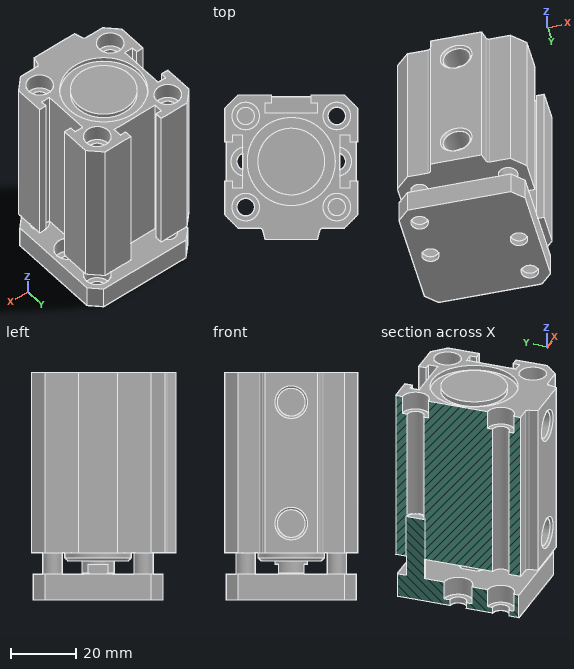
import cadquery as cq
import math

total_height = 70.0
plate_thickness = 8.0
plate_gap = 6.5
housing_base = plate_thickness + plate_gap
housing_height = total_height - housing_base

housing_width = 41.0
half_housing = housing_width / 2
housing_chamfer = 4.2
rib_height = 3.5
rib_half_width = 8.05
rib_root_fillet = 1.0
rib_flank_angle = 15
rib_flare = rib_height * math.tan(math.radians(rib_flank_angle))

slot_opening = 12.05
slot_inner_width = 16.2
slot_lip = 2.5
slot_depth = 5.5

hole_offset = 14.0
corner_hole_diameter = 5.3
corner_bore_diameter = 8.5
housing_bore_depth = 5.8
plate_bore_depth = 5.9

recess_diameter = 27.1
recess_depth = 1.6
cap_diameter = 20.5

collar_diameter = 20.5
collar_height = 2.5
collar_chamfer = 1.05

port_diameter = 8.55
port_mouth_diameter = 10.0
port_chamfer = (port_mouth_diameter - port_diameter) / 2
port_depth = 8.0
port_heights = (23.5, 60.8)

plate_width = 40.0
plate_chamfer = 3.65
side_hole_diameter = 5.3
side_bore_diameter = 9.0

guide_rod_diameter = 6.0
guide_rod_insertion = 14.0
piston_rod_diameter = 10.0
piston_rod_insertion = 14.0
rod_flat_width = 8.0
rod_flat_height = 3.0
rod_tip_chamfer = 0.35

guide_rod_points = [(-hole_offset, hole_offset), (hole_offset, -hole_offset)]
bolt_points = [(-hole_offset, -hole_offset), (hole_offset, hole_offset)]
side_points = [(-hole_offset, 0), (hole_offset, 0)]


def cylinders(points, diameter, base, height):
    """Upright cylinders of one size, standing on the height `base`."""
    return cq.Workplane("XY", origin=(0, 0, base)).pushPoints(points).circle(diameter / 2).extrude(height)


def housing_block():
    """Chamfered square bar with a flared rib along its front."""
    block = (
        cq.Workplane("XY", origin=(0, 0, housing_base))
        .rect(housing_width, housing_width)
        .extrude(housing_height)
        .edges("|Z")
        .chamfer(housing_chamfer)
    )
    root_half_width = rib_half_width + rib_flare
    rib = (
        cq.Workplane("XY", origin=(0, 0, housing_base))
        .moveTo(-root_half_width, 0)
        .lineTo(-root_half_width, -half_housing)
        .lineTo(-rib_half_width, -half_housing - rib_height)
        .lineTo(rib_half_width, -half_housing - rib_height)
        .lineTo(root_half_width, -half_housing)
        .lineTo(root_half_width, 0)
        .close()
        .extrude(housing_height)
    )
    mid_height = housing_base + housing_height / 2
    root_corners = [
        cq.selectors.NearestToPointSelector((side * root_half_width, -half_housing, mid_height))
        for side in (-1, 1)
    ]
    return block.union(rib).edges(root_corners[0] + root_corners[1]).fillet(rib_root_fillet)


def t_slot(angle):
    """Full-height T-slot in the back face, turned about Z by `angle`."""
    opening = cq.Workplane("XY", origin=(0, half_housing - slot_depth / 2, housing_base)).rect(
        slot_opening, slot_depth
    )
    inner_depth = slot_depth - slot_lip
    inner_center = half_housing - slot_depth + inner_depth / 2
    inner = cq.Workplane("XY", origin=(0, inner_center, housing_base)).rect(slot_inner_width, inner_depth)
    slot = opening.extrude(housing_height).union(inner.extrude(housing_height))
    return slot.rotate((0, 0, 0), (0, 0, 1), angle)


def port(height):
    """Blind port running back from the rib face, with a chamfered mouth."""
    mouth = cq.Workplane("XZ", origin=(0, -half_housing - rib_height, height))
    bore = mouth.circle(port_diameter / 2).extrude(-port_depth)
    chamfer = cq.Solid.makeCone(
        port_mouth_diameter / 2,
        port_diameter / 2,
        port_chamfer,
        pnt=cq.Vector(0, -half_housing - rib_height, height),
        dir=cq.Vector(0, 1, 0),
    )
    return bore.union(cq.Workplane(chamfer))


def make_housing():
    housing = housing_block()
    for angle in (-90, 0, 90):
        housing = housing.cut(t_slot(angle))
    for height in port_heights:
        housing = housing.cut(port(height))

    corners = guide_rod_points + bolt_points
    housing = housing.cut(cylinders(corners, corner_hole_diameter, housing_base, housing_height))
    bore_floor = total_height - housing_bore_depth
    housing = housing.cut(cylinders(corners, corner_bore_diameter, bore_floor, housing_bore_depth))

    recess_floor = total_height - recess_depth
    housing = housing.cut(cylinders([(0, 0)], recess_diameter, recess_floor, recess_depth))
    housing = housing.union(cylinders([(0, 0)], cap_diameter, recess_floor, recess_depth))

    collar = cylinders([(0, 0)], collar_diameter, housing_base - collar_height, collar_height)
    housing = housing.union(collar.faces("<Z").chamfer(collar_chamfer))

    housing = housing.cut(cylinders(guide_rod_points, guide_rod_diameter, housing_base, guide_rod_insertion))
    socket_base = housing_base - collar_height
    socket_height = collar_height + piston_rod_insertion
    return housing.cut(cylinders([(0, 0)], piston_rod_diameter, socket_base, socket_height))


def piston_rod():
    """Piston rod with two wrench flats and a chamfered end on the plate."""
    rod = cylinders([(0, 0)], piston_rod_diameter, plate_thickness, plate_gap + piston_rod_insertion)
    rod = rod.faces("<Z").chamfer(rod_tip_chamfer)
    flat_depth = (piston_rod_diameter - rod_flat_width) / 2
    flat_center = (rod_flat_width + flat_depth) / 2
    flats = (
        cq.Workplane("XY", origin=(0, 0, plate_thickness))
        .pushPoints([(-flat_center, 0), (flat_center, 0)])
        .rect(flat_depth, piston_rod_diameter)
        .extrude(rod_flat_height)
    )
    return rod.cut(flats)


def make_plate_with_rods():
    plate = (
        cq.Workplane("XY")
        .rect(plate_width, plate_width)
        .extrude(plate_thickness)
        .edges("|Z")
        .chamfer(plate_chamfer)
    )

    bore_floor = plate_thickness - plate_bore_depth
    plate = plate.cut(cylinders(bolt_points, corner_hole_diameter, 0, plate_thickness))
    plate = plate.cut(cylinders(bolt_points, corner_bore_diameter, bore_floor, plate_bore_depth))
    plate = plate.cut(cylinders(side_points, side_hole_diameter, 0, plate_thickness))
    plate = plate.cut(cylinders(side_points, side_bore_diameter, bore_floor, plate_bore_depth))

    rod_length = plate_gap + guide_rod_insertion
    plate = plate.union(cylinders(guide_rod_points, guide_rod_diameter, plate_thickness, rod_length))
    return plate.union(piston_rod())


housing = make_housing()
plate_with_rods = make_plate_with_rods()

result = cq.Compound.makeCompound([housing.val(), plate_with_rods.val()])